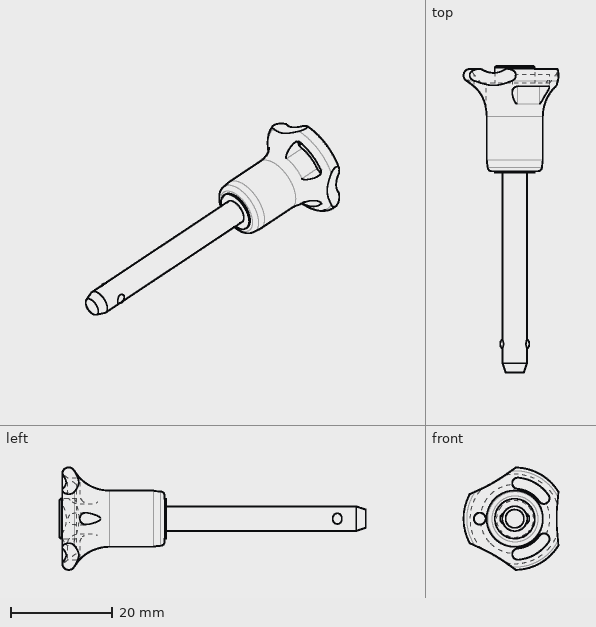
import cadquery as cq
import math


total_length = 60.7
head_length = 21.2
tip_y = head_length - total_length

shank_diameter = 4.9
shank_radius = shank_diameter / 2
tip_radius = 1.8
tip_taper_length = 1.9

ball_radius = 1.15
ball_reach = 2.9
ball_from_tip = 5.65

barrel_radius = 5.6
barrel_front_y = 0.3
barrel_nose_radius = 5.4
barrel_nose_round = 0.85
taper_start_y = 2.6
nose_round_start_y = barrel_front_y + barrel_nose_round
collar_radius = 3.95
barrel_end_y = 11.25

flange_diameter = 20.35
flange_radius = flange_diameter / 2
rim_round = 1.3
flange_back_y = head_length - 0.6
rim_center_radius = flange_radius - rim_round
rim_center_y = flange_back_y - rim_round

dish_floor_radius = 6.85
dish_depth = 2.75

button_radius = 4.0
button_chamfer = 0.35

lobe_angles = (60, 180, 300)
scallop_angles = (0, 120, 240)
scallop_edge_distance = 8.7
scallop_middle_distance = 8.3
opening_radius = 7.05
slot_half_width = 1.1
slot_half_angle = 25
finger_hole_radius = 1.15
finger_hole_distance = 6.9


def arc_point(center, radius, angle):
    """Point on a circle, with the angle in radians."""
    return (center[0] + radius * math.cos(angle), center[1] + radius * math.sin(angle))


def axial_plane():
    """XZ plane behind the part; extrusion runs toward -Y."""
    return cq.Workplane("XZ", origin=(0, head_length, 0))


def revolved_handle():
    """Barrel, flare and rim as one revolved profile, with the dish and button."""
    rise = rim_center_y - barrel_end_y
    offset = rim_center_radius - barrel_radius
    flare_radius = (rise**2 + offset**2 - rim_round**2) / (2 * (rim_round + offset))
    flare_center = (barrel_radius + flare_radius, barrel_end_y)
    rim_center = (rim_center_radius, rim_center_y)
    join_angle = math.atan2(rise, rim_center_radius - flare_center[0])
    join = arc_point(flare_center, flare_radius, join_angle)
    flare_middle = arc_point(flare_center, flare_radius, (math.pi + join_angle) / 2)
    rim_start_angle = join_angle - math.pi
    rim_middle = arc_point(rim_center, rim_round, (rim_start_angle + math.pi / 2) / 2)

    nose_center = (barrel_nose_radius - barrel_nose_round, nose_round_start_y)
    nose_middle = arc_point(nose_center, barrel_nose_round, -math.pi / 4)
    dish_floor_y = flange_back_y - dish_depth
    profile = (
        cq.Workplane("XY")
        .moveTo(0, 0)
        .lineTo(collar_radius, 0)
        .lineTo(collar_radius, barrel_front_y)
        .lineTo(nose_center[0], barrel_front_y)
        .threePointArc(nose_middle, (barrel_nose_radius, nose_round_start_y))
        .lineTo(barrel_radius, taper_start_y)
        .lineTo(barrel_radius, barrel_end_y)
        .threePointArc(flare_middle, join)
        .threePointArc(rim_middle, (rim_center_radius, flange_back_y))
        .lineTo(dish_floor_radius, dish_floor_y)
        .lineTo(button_radius, dish_floor_y)
        .lineTo(button_radius, head_length - button_chamfer)
        .lineTo(button_radius - button_chamfer, head_length)
        .lineTo(0, head_length)
        .close()
    )
    return profile.revolve(360, (0, 0), (0, 1))


def scallop_cutter(angle):
    """Shallow concave cut that separates two lobes of the flange."""
    edge_half_width = math.sqrt(flange_radius**2 - scallop_edge_distance**2)
    beyond_rim = 2 * flange_radius
    cutter = (
        axial_plane()
        .moveTo(scallop_edge_distance, -edge_half_width)
        .threePointArc((scallop_middle_distance, 0), (scallop_edge_distance, edge_half_width))
        .lineTo(beyond_rim, edge_half_width)
        .lineTo(beyond_rim, -edge_half_width)
        .close()
        .extrude(head_length)
    )
    return cutter.rotate((0, 0, 0), (0, 1, 0), -angle)


def slot_cutter(angle):
    """Curved slot with round ends, concentric with the axis."""
    origin = (0, 0)
    half_angle = math.radians(slot_half_angle)
    inner = opening_radius - slot_half_width
    outer = opening_radius + slot_half_width
    end_tilt = half_angle + math.asin(slot_half_width / opening_radius)
    cutter = (
        axial_plane()
        .moveTo(*arc_point(origin, inner, -half_angle))
        .threePointArc((inner, 0), arc_point(origin, inner, half_angle))
        .threePointArc(
            arc_point(origin, opening_radius, end_tilt), arc_point(origin, outer, half_angle)
        )
        .threePointArc((outer, 0), arc_point(origin, outer, -half_angle))
        .threePointArc(
            arc_point(origin, opening_radius, -end_tilt), arc_point(origin, inner, -half_angle)
        )
        .close()
        .extrude(head_length)
    )
    return cutter.rotate((0, 0, 0), (0, 1, 0), -angle)


def finger_hole_cutter(angle):
    """Round hole through one lobe, parallel to the axis."""
    cutter = (
        axial_plane()
        .center(finger_hole_distance, 0)
        .circle(finger_hole_radius)
        .extrude(head_length)
    )
    return cutter.rotate((0, 0, 0), (0, 1, 0), -angle)


def shank():
    """Round shank with a tapered tip, running up into the barrel."""
    profile = (
        cq.Workplane("XY")
        .moveTo(0, tip_y)
        .lineTo(tip_radius, tip_y)
        .lineTo(shank_radius, tip_y + tip_taper_length)
        .lineTo(shank_radius, barrel_end_y)
        .lineTo(0, barrel_end_y)
        .close()
    )
    return profile.revolve(360, (0, 0), (0, 1))


def locking_ball(side):
    """Ball that stands proud of the shank on the given X side."""
    center = (side * (ball_reach - ball_radius), tip_y + ball_from_tip, 0)
    return cq.Workplane("XY").sphere(ball_radius).translate(center)


result = revolved_handle()
for scallop_angle in scallop_angles:
    result = result.cut(scallop_cutter(scallop_angle))

hole_angle = lobe_angles[1]
for lobe_angle in lobe_angles:
    if lobe_angle == hole_angle:
        result = result.cut(finger_hole_cutter(lobe_angle))
    else:
        result = result.cut(slot_cutter(lobe_angle))

result = result.union(shank())
for ball_side in (-1, 1):
    result = result.union(locking_ball(ball_side))